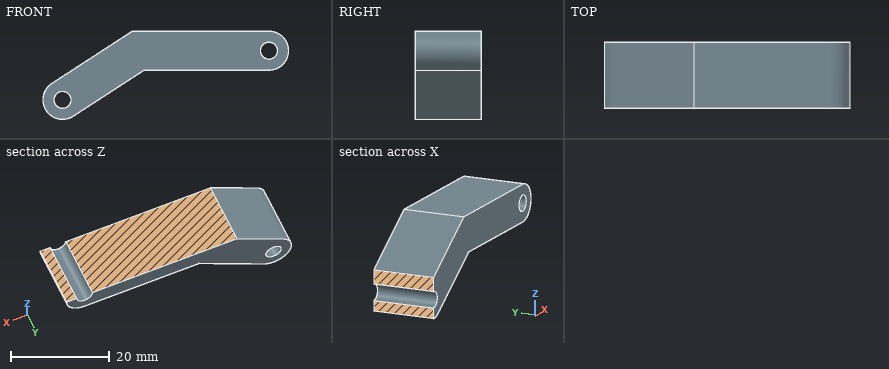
import cadquery as cq
import math

length = 50.0
width = 13.5
height = 18.0
arm_thickness = 8.0
hole_diameter = 3.4
bend_angle = math.radians(33.0)

end_radius = arm_thickness / 2
upper_hole_x = length - arm_thickness
upper_hole_z = height - arm_thickness
bend_x = upper_hole_z / math.tan(bend_angle)

slope_offset_x = -end_radius * math.sin(bend_angle)
slope_offset_z = end_radius * math.cos(bend_angle)
bend_offset_x = -end_radius * math.tan(bend_angle / 2)

lower_tip = (-end_radius * math.cos(bend_angle), -end_radius * math.sin(bend_angle))
upper_tip = (upper_hole_x + end_radius, upper_hole_z)


def make_arm():
    """Bent bar of constant thickness with fully rounded ends, centred on Y = 0."""
    return (
        cq.Workplane("XZ")
        .moveTo(slope_offset_x, slope_offset_z)
        .lineTo(bend_x + bend_offset_x, upper_hole_z + end_radius)
        .lineTo(upper_hole_x, upper_hole_z + end_radius)
        .threePointArc(upper_tip, (upper_hole_x, upper_hole_z - end_radius))
        .lineTo(bend_x - bend_offset_x, upper_hole_z - end_radius)
        .lineTo(-slope_offset_x, -slope_offset_z)
        .threePointArc(lower_tip, (slope_offset_x, slope_offset_z))
        .close()
        .extrude(width / 2, both=True)
    )


def make_pin_holes():
    """Through holes concentric with the rounded ends."""
    return (
        cq.Workplane("XZ")
        .pushPoints([(0, 0), (upper_hole_x, upper_hole_z)])
        .circle(hole_diameter / 2)
        .extrude(width / 2, both=True)
    )


result = make_arm().cut(make_pin_holes())